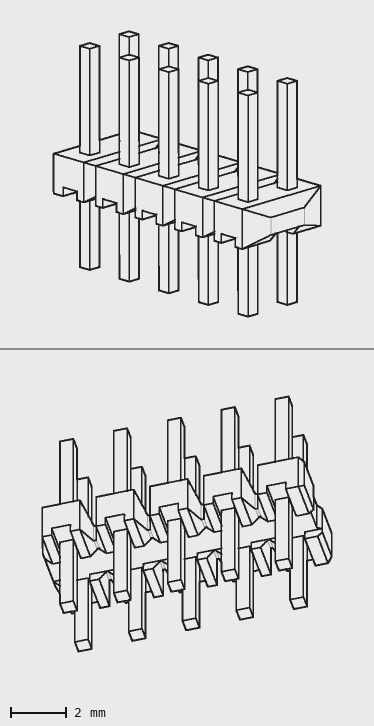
import cadquery as cq

columns = 5
rows = 2
pitch = 2.0

body_length = columns * pitch
body_width = rows * pitch
body_height = 1.5

pin_side = 0.5
pin_above_body = 4.0
pin_below_body = 2.8

groove_half_width = 0.3
groove_top_depth = 0.5
groove_side_depth = 1.15
groove_root_radius = 0.06

channel_depth = 0.34
long_channel_width = 1.18
cross_channel_width = 0.7

pad_height = 0.18
pad_bevel = 0.15
pad_inner_bevel = 0.1

end_x = body_length / 2
side_y = body_width / 2
pad_base_x = -end_x + pad_height
taper_base_x = end_x - groove_half_width
top_root_z = body_height - groove_top_depth
side_root_y = side_y - groove_side_depth
column_positions = [(i - (columns - 1) / 2) * pitch for i in range(columns)]
row_positions = [(i - (rows - 1) / 2) * pitch for i in range(rows)]


def make_end_pad(side):
    """Bevelled pad on the -X end; side is +1 or -1 along Y."""
    tip_inner_y = long_channel_width / 2
    base_inner_y = tip_inner_y - pad_inner_bevel
    base_size = (side_y - base_inner_y, body_height)
    tip_size = (side_y - pad_bevel - tip_inner_y, body_height - 2 * pad_bevel)
    base_center_y = side * (side_y + base_inner_y) / 2
    tip_center_y = side * (side_y - pad_bevel + tip_inner_y) / 2
    return (
        cq.Workplane("YZ", origin=(pad_base_x, base_center_y, body_height / 2))
        .rect(*base_size)
        .workplane(offset=-pad_height)
        .center(tip_center_y - base_center_y, 0)
        .rect(*tip_size)
        .loft(ruled=True, combine=True)
    )


def make_groove(plane, x, face_position, root_position, length):
    """V-groove cutter with a rounded root, running both ways from the given plane.

    The face and root positions are Z values on the XZ plane and Y values on the XY plane.
    """
    profile = [
        (x - groove_half_width, face_position),
        (x + groove_half_width, face_position),
        (x, root_position),
    ]
    cutter = cq.Workplane(plane).polyline(profile).close().extrude(length / 2, both=True)
    root_point = cq.Workplane(plane).plane.toWorldCoords((x, root_position))
    root_edge = cq.selectors.NearestToPointSelector(root_point.toTuple())
    run_direction = "|Y" if plane == "XZ" else "|Z"
    return cutter.edges(run_direction).edges(root_edge).fillet(groove_root_radius)


def make_tapered_end():
    """Tapered +X end: half of a sharp groove on the top, underside and both sides."""
    side_outline = [
        (taper_base_x, 0),
        (end_x, channel_depth),
        (end_x, top_root_z),
        (taper_base_x, body_height),
    ]
    plan_outline = [
        (taper_base_x, -side_y),
        (end_x, -side_root_y),
        (end_x, side_root_y),
        (taper_base_x, side_y),
    ]
    from_side = cq.Workplane("XZ").polyline(side_outline).close().extrude(side_y, both=True)
    from_above = cq.Workplane("XY").polyline(plan_outline).close().extrude(body_height)
    return from_side.intersect(from_above)


body = cq.Workplane("XY", origin=(pad_base_x, 0, 0)).box(
    taper_base_x - pad_base_x, body_width, body_height, centered=(False, True, False)
)
body = body.union(make_tapered_end())
for side in (-1, 1):
    body = body.union(make_end_pad(side))

for column_x in column_positions[:-1]:
    groove_x = column_x + pitch / 2
    body = body.cut(make_groove("XZ", groove_x, body_height, top_root_z, body_width))
    body = body.cut(make_groove("XZ", groove_x, 0, channel_depth, body_width))
    for side in (-1, 1):
        body = body.cut(
            make_groove("XY", groove_x, side * side_y, side * side_root_y, 2 * body_height)
        )

channel_centering = (True, True, False)
body = body.cut(
    cq.Workplane("XY").box(body_length, long_channel_width, channel_depth, centered=channel_centering)
)
for column_x in column_positions:
    cross_channel = cq.Workplane("XY").box(
        cross_channel_width, body_width, channel_depth, centered=channel_centering
    )
    body = body.cut(cross_channel.translate((column_x, 0, 0)))

pin_length = pin_below_body + body_height + pin_above_body
pins = (
    cq.Workplane("XY", origin=(0, 0, -pin_below_body))
    .pushPoints([(x, y) for x in column_positions for y in row_positions])
    .rect(pin_side, pin_side)
    .extrude(pin_length)
)

result = body.union(pins)